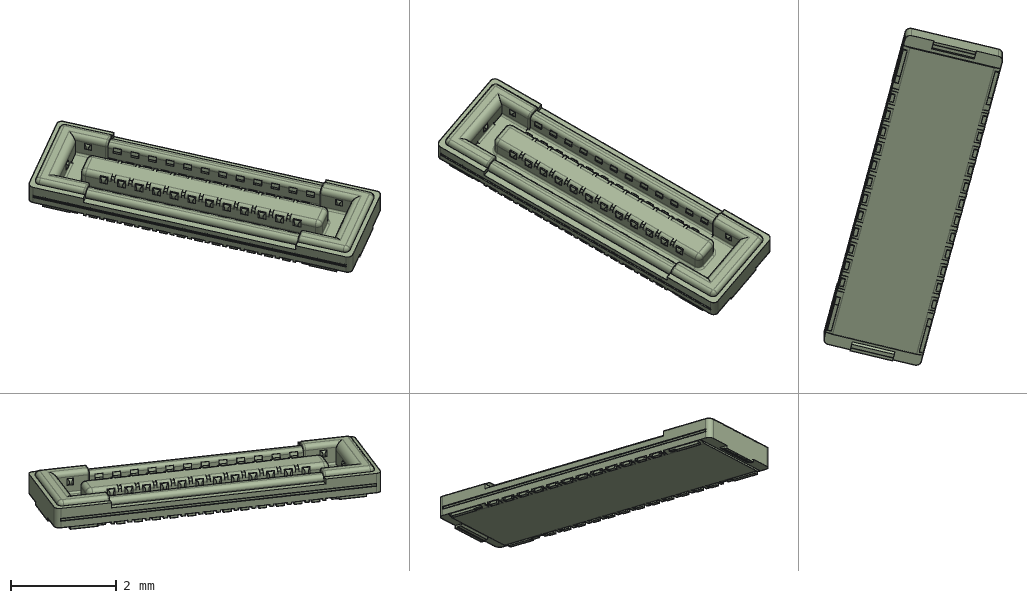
import cadquery as cq
import math


length = 6.45
width = 1.9
height = 0.55
corner_radius = 0.1

standoff = 0.02
end_underside = 0.06
floor_height = 0.1
groove_bottom = 0.195
groove_top = 0.245
ledge_height = 0.355
rail_height = 0.48
shoulder_height = 0.46

cap_end_x = 2.115
cap_inset_x = 0.09
cap_inset_y = 0.11
cap_radius = height - shoulder_height
cap_end_round = 0.03

rail_inset = 0.13
rail_outer_round = 0.1
rail_inner_round = 0.085
rail_wall_inset = 0.375

pocket_inset_x = 0.48
pocket_inset_y = 0.41
pocket_flare_x = 0.16
pocket_flare_y = 0.1
base_round = 0.04
end_round_length = 0.53

tongue_length = 4.8
tongue_width = 0.535
tongue_height = rail_height
tongue_corner = 0.11
tongue_round = 0.1

contact_count = 12
contact_row_length = 3.85
contact_pitch = contact_row_length / (contact_count - 1)
contact_width = 0.155
bump_height = 0.37
bump_bevel = 0.045
bump_reach = 0.04
pad_bottom = 0.315
pad_edge = 0.36
pad_top = 0.425
pad_reach = 0.025
rib_width = 0.065
rib_reach = 0.225
rib_bottom = 0.36
rib_shoulder = 0.43
cap_bump_x = 2.5
cap_bump_width = 0.135
cap_bump_height = 0.34
end_bump_height = 0.29

foot_setback = 0.01
foot_depth = 0.09
notch_width = 0.27
notch_depth = 0.13
tab_start_x = 2.93
tab_step_x = 2.385
tab_end_x = 2.24
tab_notch_start_x = 2.99
end_foot_width = 0.83
end_foot_tip = 0.06
end_foot_reach = 0.13

groove_depth = 0.025
overlap = 0.03
tolerance = 0.003

half_length = length / 2
half_width = width / 2
cap_wall_y = half_width - pocket_inset_y
rail_wall_y = half_width - rail_wall_inset
pocket_end_x = half_length - pocket_inset_x
contact_places = [contact_pitch * (i - (contact_count - 1) / 2) for i in range(contact_count)]
rib_places = [x + contact_pitch / 2 for x in contact_places[:-1]]
SIDES = (-1, 1)


def block(x0, x1, y0, y1, z0, z1):
    """Box between two opposite corners, given in any order."""
    size = (abs(x1 - x0), abs(y1 - y0), abs(z1 - z0))
    centre = ((x0 + x1) / 2, (y0 + y1) / 2, (z0 + z1) / 2)
    return cq.Workplane("XY").box(*size).translate(centre)


def prism_along_x(outline, x0, x1):
    """Extrude a closed (y, z) outline from x0 to x1."""
    return outline.extrude(x1 - x0).translate((x0, 0, 0))


def mirrored_y(solid):
    return solid.union(solid.mirror("XZ"))


def mirrored_x(solid):
    return solid.union(solid.mirror("YZ"))


def flared_outline(plane, wall, flare):
    """Opening with straight walls that round outward to the top of the rim."""
    bend_height = height - flare
    lean = math.sqrt(0.5)
    mid_out = wall + flare * (1 - lean)
    mid_height = bend_height + flare * lean
    return (
        cq.Workplane(plane)
        .moveTo(-wall, floor_height)
        .lineTo(wall, floor_height)
        .lineTo(wall, bend_height)
        .threePointArc((mid_out, mid_height), (wall + flare, height))
        .lineTo(-wall - flare, height)
        .threePointArc((-mid_out, mid_height), (-wall, bend_height))
        .close()
    )


def housing():
    base = (
        cq.Workplane("XY")
        .workplane(offset=standoff)
        .rect(length, width)
        .extrude(shoulder_height - standoff)
        .edges("|Z").fillet(corner_radius)
    )
    for side in SIDES:
        raised_end = block(side * tab_notch_start_x, side * length, -width, width,
                           0, end_underside)
        base = base.cut(raised_end)
    middle = block(-cap_end_x, cap_end_x, -width, width, ledge_height, height)
    rail_gap = block(-cap_end_x, cap_end_x, -rail_wall_y, rail_wall_y, floor_height, height)
    shell = base.cut(middle).union(end_caps()).cut(cap_pocket()).cut(rail_gap)

    reach_x = cap_end_x + tolerance
    cap_ends = cq.selectors.BoxSelector((-reach_x, -width, height - tolerance),
                                        (reach_x, width, height + tolerance))
    shell = shell.edges(cap_ends).fillet(cap_end_round)
    return shell.union(mirrored_y(rail())).cut(mirrored_y(side_groove()))


def end_caps():
    """Rounded rims standing on the shoulder at both ends."""
    return (
        cq.Workplane("XY")
        .workplane(offset=shoulder_height - overlap)
        .rect(length - 2 * cap_inset_x, width - 2 * cap_inset_y)
        .extrude(height - shoulder_height + overlap)
        .edges("|Z").fillet(corner_radius)
        .faces(">Z").edges().fillet(cap_radius)
        .cut(block(-cap_end_x, cap_end_x, -width, width, 0, 2 * height))
    )


def cap_pocket():
    """Pocket between the caps, flared on all four sides with mitred corners."""
    across = flared_outline("YZ", cap_wall_y, pocket_flare_y).extrude(half_length, both=True)
    along = flared_outline("XZ", pocket_end_x, pocket_flare_x).extrude(half_width, both=True)
    return across.intersect(along)


def rail():
    """Rounded rail along one long side, between the caps."""
    inner_y = rail_wall_y
    outer_y = half_width - rail_inset
    lean = math.sqrt(0.5)
    inner_mid = (inner_y + rail_inner_round * (1 - lean), rail_height - rail_inner_round * (1 - lean))
    outer_mid = (outer_y - rail_outer_round * (1 - lean), rail_height - rail_outer_round * (1 - lean))
    outline = (
        cq.Workplane("YZ")
        .moveTo(inner_y, ledge_height - overlap)
        .lineTo(inner_y, rail_height - rail_inner_round)
        .threePointArc(inner_mid, (inner_y + rail_inner_round, rail_height))
        .lineTo(outer_y - rail_outer_round, rail_height)
        .threePointArc(outer_mid, (outer_y, rail_height - rail_outer_round))
        .lineTo(outer_y, ledge_height - overlap)
        .close()
    )
    return outline.extrude(cap_end_x, both=True)


def side_groove():
    """Shallow seam groove along one long side, ending at the corner rounds."""
    end_x = half_length - corner_radius
    return block(-end_x, end_x, half_width - groove_depth, half_width + overlap,
                 groove_bottom, groove_top)


def floor_round(x0, x1, wall_y):
    """Hollow round at the foot of a wall facing -Y."""
    inset = base_round * (1 - math.sqrt(0.5))
    outline = (
        cq.Workplane("YZ")
        .moveTo(wall_y - base_round, floor_height)
        .threePointArc((wall_y - inset, floor_height + inset), (wall_y, floor_height + base_round))
        .lineTo(wall_y + overlap, floor_height + base_round)
        .lineTo(wall_y + overlap, floor_height - overlap)
        .lineTo(wall_y - base_round, floor_height - overlap)
        .close()
    )
    return prism_along_x(outline, x0, x1)


def floor_rounds():
    half_round = end_round_length / 2
    end_round = floor_round(-half_round, half_round, pocket_end_x)
    end_rounds = mirrored_x(end_round.rotate((0, 0, 0), (0, 0, 1), -90))
    cap_rounds = mirrored_x(floor_round(cap_end_x + cap_end_round, pocket_end_x, cap_wall_y))
    rail_round = floor_round(-cap_end_x, cap_end_x, rail_wall_y)
    return end_rounds.union(mirrored_y(cap_rounds.union(rail_round)))


def tongue():
    """Tongue on a slab level with the floor, blended into it by a hollow round."""
    body = (
        cq.Workplane("XY")
        .workplane(offset=floor_height - overlap)
        .rect(tongue_length, tongue_width)
        .extrude(tongue_height - floor_height + overlap)
        .edges("|Z").fillet(tongue_corner)
        .faces(">Z").edges().fillet(tongue_round)
    )
    slab = block(-pocket_end_x, pocket_end_x, -cap_wall_y, cap_wall_y,
                 floor_height - overlap, floor_height)
    foot_line = cq.selectors.BoxSelector(
        (-tongue_length / 2 - tolerance, -tongue_width / 2 - tolerance, floor_height - tolerance),
        (tongue_length / 2 + tolerance, tongue_width / 2 + tolerance, floor_height + tolerance),
    )
    return body.union(slab).edges(foot_line).fillet(base_round)


def contact_bump(x, base_y, z, base_width):
    """Bump bulging toward +Y from a wall at base_y, with bevelled flanks."""
    half_base = base_width / 2
    half_tip = half_base - bump_bevel
    bulge = (
        cq.Workplane("YZ")
        .moveTo(-overlap, -half_base)
        .lineTo(0, -half_base)
        .threePointArc((bump_reach, 0), (0, half_base))
        .lineTo(-overlap, half_base)
        .close()
        .extrude(half_base, both=True)
    )
    flanks = cq.Workplane("XY").polyline([
        (-half_base, -overlap),
        (half_base, -overlap),
        (half_base, 0),
        (half_tip, bump_reach),
        (-half_tip, bump_reach),
        (-half_base, 0),
    ]).close().extrude(base_width, both=True)
    return bulge.intersect(flanks).translate((x, base_y, z))


def wall_bump():
    """Bump on a pocket wall facing -Y, placed at the origin."""
    return contact_bump(0, 0, 0, cap_bump_width).rotate((0, 0, 0), (0, 0, 1), 180)


def end_bump():
    """Bump in the middle of the +X pocket wall."""
    return wall_bump().rotate((0, 0, 0), (0, 0, 1), -90).translate((pocket_end_x, 0, end_bump_height))


def contact_rib(x):
    """Rib level with the top of the tongue, between two contacts."""
    outline = cq.Workplane("YZ").polyline([
        (0, tongue_height),
        (rib_reach, tongue_height),
        (tongue_width / 2, rib_shoulder),
        (tongue_width / 2, rib_bottom),
        (0, rib_bottom),
    ]).close()
    return prism_along_x(outline, x - rib_width / 2, x + rib_width / 2)


def rail_pad(x):
    """Contact pad standing proud of the rail wall, sloped toward the rail top."""
    outline = cq.Workplane("YZ").polyline([
        (rail_wall_y + overlap, pad_bottom),
        (rail_wall_y - pad_reach, pad_bottom),
        (rail_wall_y - pad_reach, pad_edge),
        (rail_wall_y, pad_top),
        (rail_wall_y + overlap, pad_top),
    ]).close()
    return prism_along_x(outline, x - contact_width / 2, x + contact_width / 2)


def contact_row():
    """Everything belonging to the contacts on the +Y side."""
    row = contact_rib(rib_places[0])
    for x in rib_places[1:]:
        row = row.union(contact_rib(x))
    for x in contact_places:
        row = row.union(contact_bump(x, tongue_width / 2, bump_height, contact_width))
        row = row.union(rail_pad(x)).union(solder_foot(x - contact_width / 2, x + contact_width / 2, 0))
    for side in SIDES:
        row = row.union(wall_bump().translate((side * cap_bump_x, cap_wall_y, cap_bump_height)))
        row = row.union(solder_foot(side * tab_start_x, side * tab_step_x, 0))
        row = row.union(solder_foot(side * tab_step_x, side * tab_end_x, standoff))
    return row


def solder_foot(x0, x1, bottom):
    """Flat foot at the +Y edge of the underside."""
    return block(x0, x1, half_width - foot_depth, half_width - foot_setback, bottom, end_underside + overlap)


def foot_notch(x0, x1):
    """Sloped notch in the +Y edge of the underside, around a foot."""
    outline = cq.Workplane("YZ").polyline([
        (half_width - notch_depth, standoff),
        (half_width, end_underside),
        (half_width + overlap, end_underside),
        (half_width + overlap, 0),
        (half_width - notch_depth, 0),
    ]).close()
    return prism_along_x(outline, min(x0, x1), max(x0, x1))


def foot_notches():
    notches = foot_notch(tab_notch_start_x, cap_end_x)
    notches = mirrored_x(notches)
    for x in contact_places:
        notches = notches.union(foot_notch(x - notch_width / 2, x + notch_width / 2))
    return mirrored_y(notches)


def end_foot():
    """Bent foot under the +X end wall."""
    bend_x = half_length - end_foot_reach
    root_x = bend_x - (end_underside - standoff)
    tip_x = half_length - end_foot_tip
    outline = cq.Workplane("XZ").polyline([
        (half_length, 0),
        (half_length, end_underside + overlap),
        (root_x, end_underside + overlap),
        (root_x, end_underside),
        (bend_x, standoff),
        (tip_x, standoff),
        (tip_x, 0),
    ]).close()
    return outline.extrude(end_foot_width / 2, both=True)


result = (
    housing()
    .union(tongue())
    .union(floor_rounds())
    .cut(foot_notches())
    .union(mirrored_y(contact_row()))
    .union(mirrored_x(end_foot().union(end_bump())))
)